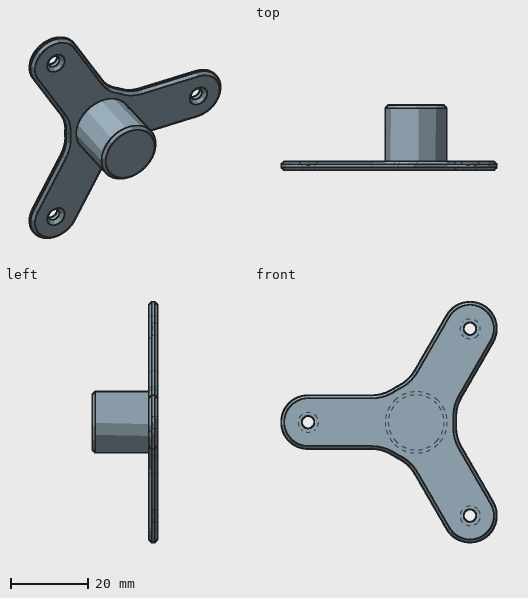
import cadquery as cq
import math

ARM_COUNT = 3
ARM_RADIUS = 7.0
HOLE_CIRCLE_RADIUS = 28.0
HOLE_DIAMETER = 3.2
COUNTERSINK_DEPTH = 1.0
HUB_RADIUS = 10.5
BLEND_RADIUS = 10.0
PLATE_THICKNESS = 2.4
PLATE_CHAMFER = 0.8
BOSS_DIAMETER = 16.0
TOTAL_DEPTH = 17.0
BOSS_CHAMFER = 0.8

BLEND_CENTER_V = ARM_RADIUS + BLEND_RADIUS
BLEND_CENTER_U = math.sqrt((HUB_RADIUS + BLEND_RADIUS) ** 2 - BLEND_CENTER_V ** 2)
HUB_TANGENT_ANGLE = math.atan2(BLEND_CENTER_V, BLEND_CENTER_U)

ARM_PITCH = 2 * math.pi / ARM_COUNT
ARM_ANGLES = [math.pi + i * ARM_PITCH for i in range(ARM_COUNT)]


def turned(u, v, angle):
    """Rotate an arm-local point (u along the arm, v across it) into the plate."""
    return (
        u * math.cos(angle) - v * math.sin(angle),
        u * math.sin(angle) + v * math.cos(angle),
    )


def hub_point(angle):
    return turned(HUB_RADIUS, 0, angle)


def blend_middle(side, angle):
    """Midpoint of the blend arc on one side (+1 or -1) of an arm."""
    toward_hub = HUB_TANGENT_ANGLE + math.pi
    toward_arm = 3 * math.pi / 2
    middle = (toward_hub + toward_arm) / 2
    u = BLEND_CENTER_U + BLEND_RADIUS * math.cos(middle)
    v = BLEND_CENTER_V + BLEND_RADIUS * math.sin(middle)
    return turned(u, side * v, angle)


def make_plate():
    """Three-armed plate with its front face at Y = 0, chamfered all round."""
    outline = cq.Workplane("XZ").moveTo(*hub_point(ARM_ANGLES[0] - HUB_TANGENT_ANGLE))
    for angle in ARM_ANGLES:
        outline = (
            outline
            .threePointArc(blend_middle(-1, angle), turned(BLEND_CENTER_U, -ARM_RADIUS, angle))
            .lineTo(*turned(HOLE_CIRCLE_RADIUS, -ARM_RADIUS, angle))
            .threePointArc(
                turned(HOLE_CIRCLE_RADIUS + ARM_RADIUS, 0, angle),
                turned(HOLE_CIRCLE_RADIUS, ARM_RADIUS, angle),
            )
            .lineTo(*turned(BLEND_CENTER_U, ARM_RADIUS, angle))
            .threePointArc(blend_middle(1, angle), hub_point(angle + HUB_TANGENT_ANGLE))
            .threePointArc(
                hub_point(angle + ARM_PITCH / 2),
                hub_point(angle + ARM_PITCH - HUB_TANGENT_ANGLE),
            )
        )
    plate = outline.close().extrude(-PLATE_THICKNESS)
    return plate.faces("<Y or >Y").edges().chamfer(PLATE_CHAMFER)


def make_boss():
    """Round boss on the back of the plate, chamfered at its free end."""
    boss = cq.Workplane("XZ").circle(BOSS_DIAMETER / 2).extrude(-TOTAL_DEPTH)
    return boss.faces(">Y").chamfer(BOSS_CHAMFER)


def make_tip_holes():
    """Cutters for the through holes at the arm tips, countersunk from the back."""
    centers = [turned(HOLE_CIRCLE_RADIUS, 0, angle) for angle in ARM_ANGLES]
    holes = (
        cq.Workplane("XZ")
        .pushPoints(centers)
        .circle(HOLE_DIAMETER / 2)
        .extrude(-PLATE_THICKNESS)
    )
    for x, z in centers:
        countersink = cq.Solid.makeCone(
            HOLE_DIAMETER / 2 + COUNTERSINK_DEPTH,
            HOLE_DIAMETER / 2,
            COUNTERSINK_DEPTH,
            pnt=cq.Vector(x, PLATE_THICKNESS, z),
            dir=cq.Vector(0, -1, 0),
        )
        holes = holes.union(cq.Workplane(obj=countersink))
    return holes


result = make_plate().union(make_boss()).cut(make_tip_holes())